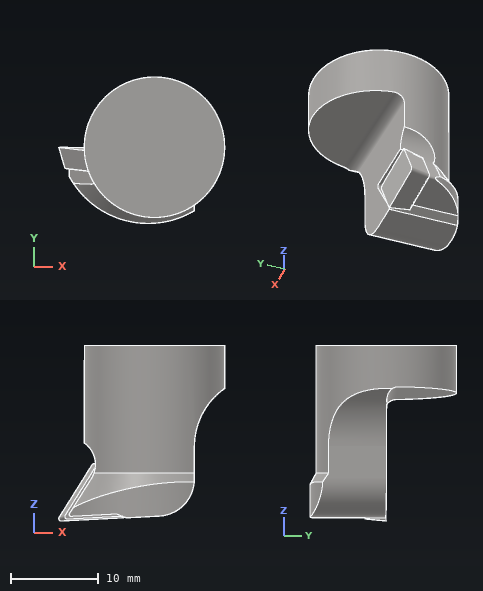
import cadquery as cq
import math


overall_height = 20.0
shank_radius = 8.0

flare_top = 5.45
flare_angle = math.radians(28.3)
head_radius = 10.2
head_center_x = -0.72
head_center_y = 1.51

insert_reach = 10.89
insert_side = 7.75
insert_thickness = 2.38
insert_relief = 9.0
insert_nose_radius = 0.3
insert_tilt = 4.2
insert_nose_angle = math.radians(55)
end_edge_angle = math.radians(3)
side_edge_angle = end_edge_angle + insert_nose_angle

far_side_x = 4.55
far_side_top = 8.5
far_side_corner = 15.1
heel_radius = 4.25
heel_top = 4.8
nose_side_x = -9.52
nose_side_z = 1.1
nose_radius = 0.2
nose_bottom_x = -4.3
nose_bottom_z = 0.82
relief_end_x = -3.2
notch_radius = 3.0
notch_bottom = 4.85

gullet_roof = 14.55
gullet_roof_tilt = 5.3
gullet_face_tilt = 1.0
gullet_face_y = -0.05
gullet_fillet = 1.3

cut_size = 40.0


def make_insert():
    """Rhombic insert, top face through the nose, standing in its final place."""
    end_edge = cq.Vector(math.cos(end_edge_angle), math.sin(end_edge_angle)) * insert_side
    side_edge = cq.Vector(math.cos(side_edge_angle), math.sin(side_edge_angle)) * insert_side
    opposite = end_edge + side_edge
    half_nose = insert_nose_angle / 2
    bisector = end_edge_angle + half_nose
    nose_center_distance = insert_nose_radius / math.sin(half_nose)
    tip_x = -insert_reach + insert_nose_radius - nose_center_distance * math.cos(bisector)
    tip_z = insert_nose_radius - nose_center_distance * math.sin(bisector)
    return (
        cq.Workplane("XZ")
        .polyline([(0, 0), end_edge.toTuple()[:2], opposite.toTuple()[:2], side_edge.toTuple()[:2]])
        .close()
        .extrude(insert_thickness, taper=insert_relief)
        .edges("not(#Y)")
        .fillet(insert_nose_radius)
        .rotate((0, 0, 0), (1, 0, 0), insert_tilt)
        .translate((tip_x, 0, tip_z))
    )


def make_pocket(insert):
    """Seat for the insert, open above its top face."""
    opening = insert.faces(">Y").wires().toPending().workplane().extrude(insert_thickness, combine=False)
    return insert.union(opening)


def make_round_stock():
    """Shank cylinder with the flared head below it."""
    shank = cq.Workplane("XY").circle(shank_radius).extrude(overall_height)
    flare_foot_radius = shank_radius + flare_top * math.tan(flare_angle)
    flare = (
        cq.Workplane("XZ")
        .polyline([(0, 0), (flare_foot_radius, 0), (shank_radius, flare_top), (0, flare_top)])
        .close()
        .revolve(360, (0, 0, 0), (0, 1, 0))
    )
    head_limit = (
        cq.Workplane("XY").center(head_center_x, head_center_y).circle(head_radius).extrude(flare_top)
    )
    return shank.union(flare.intersect(head_limit))


def make_side_outline():
    """Outline of the holder in XZ, extruded through the whole depth."""
    flank_x = nose_side_x + (notch_bottom - nose_side_z) / math.tan(side_edge_angle)
    notch_x = flank_x - notch_radius * math.sin(side_edge_angle)
    notch_z = notch_bottom + notch_radius * math.cos(side_edge_angle)
    notch_top = notch_z + math.sqrt(notch_radius ** 2 - (-shank_radius - notch_x) ** 2)

    side_slope = math.tan(side_edge_angle)
    end_slope = math.tan(end_edge_angle)
    rise = nose_side_z - nose_bottom_z
    corner_x = (side_slope * nose_side_x - end_slope * nose_bottom_x - rise) / (side_slope - end_slope)
    corner_z = nose_bottom_z + end_slope * (corner_x - nose_bottom_x)

    hollow_width = shank_radius - far_side_x
    hollow_height = far_side_corner - far_side_top
    hollow_radius = (hollow_width ** 2 + hollow_height ** 2) / (2 * hollow_width)

    heel_x = far_side_x - heel_radius
    underside_x = heel_x + heel_radius * math.sin(end_edge_angle)
    underside_z = heel_top - heel_radius * math.cos(end_edge_angle)
    relief_end_z = underside_z - end_slope * (underside_x - relief_end_x)
    heel_mid = math.radians(-45)

    hollow_end = math.atan2(hollow_height, hollow_width - hollow_radius)
    hollow_mid = (math.pi + hollow_end) / 2
    return (
        cq.Workplane("XZ", origin=(0, cut_size / 2, 0))
        .moveTo(-shank_radius, overall_height)
        .lineTo(shank_radius, overall_height)
        .lineTo(shank_radius, far_side_corner)
        .threePointArc(
            (
                far_side_x + hollow_radius * (1 + math.cos(hollow_mid)),
                far_side_top + hollow_radius * math.sin(hollow_mid),
            ),
            (far_side_x, far_side_top),
        )
        .lineTo(far_side_x, heel_top)
        .threePointArc(
            (heel_x + heel_radius * math.cos(heel_mid), heel_top + heel_radius * math.sin(heel_mid)),
            (underside_x, underside_z),
        )
        .lineTo(relief_end_x, relief_end_z)
        .lineTo(nose_bottom_x, nose_bottom_z)
        .lineTo(corner_x, corner_z)
        .lineTo(flank_x, notch_bottom)
        .threePointArc((notch_x + notch_radius, notch_z), (-shank_radius, notch_top))
        .close()
        .extrude(cut_size)
        .edges(cq.selectors.NearestToPointSelector((corner_x, 0, corner_z)))
        .fillet(nose_radius)
    )


def make_gullet():
    """Chip space on the +Y side: a flat face, a sloping roof and a fillet between them."""
    return (
        cq.Workplane("XY")
        .box(cut_size, cut_size, cut_size, centered=(True, False, False))
        .translate((0, 0, -cut_size))
        .edges("|X and >Z and <Y")
        .fillet(gullet_fillet)
        .rotate((0, 0, 0), (0, 1, 0), -gullet_roof_tilt)
        .rotate((0, 0, 0), (0, 0, 1), gullet_face_tilt)
        .translate((0, gullet_face_y, gullet_roof))
    )


insert = make_insert()
holder = (
    make_round_stock()
    .intersect(make_side_outline())
    .cut(make_gullet())
    .cut(make_pocket(insert))
)

result = cq.Compound.makeCompound([holder.val(), insert.val()])